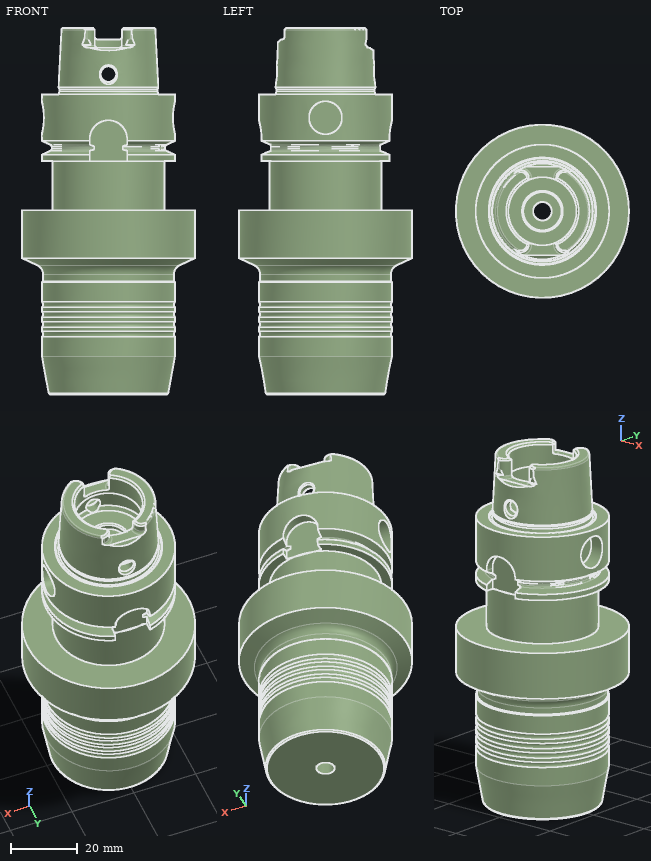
import cadquery as cq
import math

TOTAL_HEIGHT = 109.9
CUT_MARGIN = 11.0

NOSE_RADIUS = 35.9 / 2
NOSE_CHAMFER = 0.4
NOSE_CONE_TOP = 11.5
SLEEVE_RADIUS = 20.0
SLEEVE_TOP = 34.0
NECK_RADIUS = 19.7
GRIP_GROOVE_COUNT = 4
GRIP_GROOVE_BOTTOM = 17.3
GRIP_GROOVE_PITCH = 3.0
GRIP_GROOVE_WIDTH = 1.6
GRIP_GROOVE_DEPTH = 0.3

COLLAR_RADIUS = 52.0 / 2
COLLAR_BOTTOM = 40.9
COLLAR_TOP = 55.3
COLLAR_CONE_ANGLE = math.radians(65)
COLLAR_FILLET = 3.0

SHAFT_RADIUS = 16.8
FLANGE_RADIUS = SLEEVE_RADIUS
FLANGE_HEIGHT = 20.0
FLANGE_BOTTOM = 70.0
FLANGE_TOP = FLANGE_BOTTOM + FLANGE_HEIGHT
GRIPPER_GROOVE_Z = 74.0
GRIPPER_GROOVE_RADIUS = 17.0
GRIPPER_GROOVE_WIDTH = 0.5
GRIPPER_GROOVE_FILLET = 0.7
GRIPPER_GROOVE_ANGLE = math.radians(65)

RECESS_RADIUS = 15.8
RECESS_DEPTH = 0.3
RELIEF_RADIUS = 14.7
RELIEF_FLARE_WIDTH = 0.4
RELIEF_FLARE_HEIGHT = 1.2
RELIEF_TOP = 91.5
TAPER_BOTTOM = 92.1
TAPER_BOTTOM_RADIUS = 30.0 / 2
TAPER_TOP_RADIUS = 28.2 / 2
RIM_ROUND = 0.5

BORE_RADIUS = 10.2
BORE_MOUTH_CHAMFER = 0.7
BORE_DEPTH = 16.3
UNDERCUT_RADIUS = 12.3
UNDERCUT_DEPTH = 7.4
BORE_FLOOR_CHAMFER = 1.1
SEAT_RADIUS = 5.7
SEAT_CHAMFER = 0.4
SEAT_DEPTH = 2.2
COOLANT_RADIUS = 2.7

CROSS_HOLE_RADIUS = 2.3
CROSS_HOLE_COUNTERSINK = 0.8
CROSS_HOLE_Z = TOTAL_HEIGHT - 13.8

SLOT_HALF_WIDTH = 4.1
SLOT_FLARE_RADIUS = 2.4
SLOT_FLARE_START = 9.9
SLOT_FLOOR_FILLET = 0.8
SLOT_EDGE_CHAMFER = 0.5
FRONT_SLOT_DEPTH = 5.9
BACK_SLOT_DEPTH = 3.4

FRONT_RELIEF_START = (12.9, 0.3)
FRONT_RELIEF_CORNER = (12.0, 5.1)
FRONT_RELIEF_SLOPE = 0.7
BACK_RELIEF_START = 13.3
RELIEF_CUT_REACH = 6.6

KEY_HALF_WIDTH = 5.6
KEY_FLOOR = 16.5
KEY_TOP = 82.2
ROUND_POCKET_RADIUS = 5.0
ROUND_POCKET_FLOOR = 15.1
ROUND_POCKET_Z = 83.0


def turned(profile):
    """Close a profile drawn in the XZ plane and turn it about the Z axis."""
    return profile.close().revolve(360, (0, 0), (0, 1))


def body():
    fillet_outer = NECK_RADIUS + COLLAR_FILLET * (1 - math.cos(COLLAR_CONE_ANGLE))
    fillet_top = COLLAR_BOTTOM - (COLLAR_RADIUS - fillet_outer) / math.tan(COLLAR_CONE_ANGLE)
    fillet_bottom = fillet_top - COLLAR_FILLET * math.sin(COLLAR_CONE_ANGLE)
    recess_z = FLANGE_TOP - RECESS_DEPTH
    return turned(
        cq.Workplane("XZ")
        .lineTo(NOSE_RADIUS - NOSE_CHAMFER, 0)
        .lineTo(NOSE_RADIUS, NOSE_CHAMFER)
        .lineTo(SLEEVE_RADIUS, NOSE_CONE_TOP)
        .lineTo(SLEEVE_RADIUS, SLEEVE_TOP - (SLEEVE_RADIUS - NECK_RADIUS))
        .lineTo(NECK_RADIUS, SLEEVE_TOP)
        .lineTo(NECK_RADIUS, fillet_bottom)
        .radiusArc((fillet_outer, fillet_top), COLLAR_FILLET)
        .lineTo(COLLAR_RADIUS, COLLAR_BOTTOM)
        .lineTo(COLLAR_RADIUS, COLLAR_TOP)
        .lineTo(SHAFT_RADIUS, COLLAR_TOP)
        .lineTo(SHAFT_RADIUS, FLANGE_BOTTOM)
        .lineTo(FLANGE_RADIUS, FLANGE_BOTTOM)
        .lineTo(FLANGE_RADIUS, FLANGE_TOP)
        .lineTo(RECESS_RADIUS + RECESS_DEPTH, FLANGE_TOP)
        .lineTo(RECESS_RADIUS, recess_z)
        .lineTo(RELIEF_RADIUS + RELIEF_FLARE_WIDTH, recess_z)
        .lineTo(RELIEF_RADIUS, recess_z + RELIEF_FLARE_HEIGHT)
        .lineTo(RELIEF_RADIUS, RELIEF_TOP)
        .lineTo(TAPER_BOTTOM_RADIUS, TAPER_BOTTOM)
        .lineTo(TAPER_TOP_RADIUS, TOTAL_HEIGHT - RIM_ROUND)
        .radiusArc((TAPER_TOP_RADIUS - RIM_ROUND, TOTAL_HEIGHT), -RIM_ROUND)
        .lineTo(0, TOTAL_HEIGHT)
    )


def grip_groove(bottom):
    """Shallow round-bottomed ring groove in the sleeve."""
    top = bottom + GRIP_GROOVE_WIDTH
    return turned(
        cq.Workplane("XZ")
        .moveTo(SLEEVE_RADIUS, bottom)
        .threePointArc((SLEEVE_RADIUS - GRIP_GROOVE_DEPTH, (bottom + top) / 2), (SLEEVE_RADIUS, top))
        .lineTo(SLEEVE_RADIUS + CUT_MARGIN, top)
        .lineTo(SLEEVE_RADIUS + CUT_MARGIN, bottom)
    )


def gripper_groove():
    """V-groove around the flange with a narrow flat root and filleted flanks."""
    half_root = GRIPPER_GROOVE_WIDTH / 2
    neck_radius = GRIPPER_GROOVE_RADIUS + GRIPPER_GROOVE_FILLET * (1 - math.cos(GRIPPER_GROOVE_ANGLE))
    half_neck = half_root + GRIPPER_GROOVE_FILLET * math.sin(GRIPPER_GROOVE_ANGLE)
    half_mouth = half_neck + (FLANGE_RADIUS - neck_radius) / math.tan(GRIPPER_GROOVE_ANGLE)
    return turned(
        cq.Workplane("XZ", origin=(0, 0, GRIPPER_GROOVE_Z))
        .moveTo(FLANGE_RADIUS, -half_mouth)
        .lineTo(neck_radius, -half_neck)
        .radiusArc((GRIPPER_GROOVE_RADIUS, -half_root), GRIPPER_GROOVE_FILLET)
        .lineTo(GRIPPER_GROOVE_RADIUS, half_root)
        .radiusArc((neck_radius, half_neck), GRIPPER_GROOVE_FILLET)
        .lineTo(FLANGE_RADIUS, half_mouth)
        .lineTo(FLANGE_RADIUS + CUT_MARGIN, half_mouth)
        .lineTo(FLANGE_RADIUS + CUT_MARGIN, -half_mouth)
    )


def bore():
    """Undercut shank bore, stepped seat and coolant passage through to the bottom."""
    floor = TOTAL_HEIGHT - BORE_DEPTH
    undercut_top = TOTAL_HEIGHT - UNDERCUT_DEPTH
    return turned(
        cq.Workplane("XZ")
        .lineTo(COOLANT_RADIUS, 0)
        .lineTo(COOLANT_RADIUS, floor - SEAT_DEPTH)
        .lineTo(SEAT_RADIUS, floor - SEAT_DEPTH)
        .lineTo(SEAT_RADIUS, floor - SEAT_CHAMFER)
        .lineTo(SEAT_RADIUS + SEAT_CHAMFER, floor)
        .lineTo(UNDERCUT_RADIUS - BORE_FLOOR_CHAMFER, floor)
        .lineTo(UNDERCUT_RADIUS, floor + BORE_FLOOR_CHAMFER)
        .lineTo(UNDERCUT_RADIUS, undercut_top)
        .lineTo(BORE_RADIUS, undercut_top)
        .lineTo(BORE_RADIUS, TOTAL_HEIGHT - BORE_MOUTH_CHAMFER)
        .lineTo(BORE_RADIUS + BORE_MOUTH_CHAMFER, TOTAL_HEIGHT)
        .lineTo(0, TOTAL_HEIGHT)
    )


def slot_plan(z):
    """Plan of a slot on the -Y side; its walls flare outward as convex arcs."""
    flare_end = SLOT_FLARE_START + SLOT_FLARE_RADIUS
    flare_x = SLOT_HALF_WIDTH + SLOT_FLARE_RADIUS
    outer = TAPER_BOTTOM_RADIUS + CUT_MARGIN
    return (
        cq.Workplane("XY", origin=(0, 0, z))
        .moveTo(-SLOT_HALF_WIDTH, 0)
        .lineTo(-SLOT_HALF_WIDTH, -SLOT_FLARE_START)
        .radiusArc((-flare_x, -flare_end), SLOT_FLARE_RADIUS)
        .lineTo(-outer, -flare_end)
        .lineTo(-outer, -outer)
        .lineTo(outer, -outer)
        .lineTo(outer, -flare_end)
        .lineTo(flare_x, -flare_end)
        .radiusArc((SLOT_HALF_WIDTH, -SLOT_FLARE_START), SLOT_FLARE_RADIUS)
        .lineTo(SLOT_HALF_WIDTH, 0)
        .close()
    )


def drive_slot(depth):
    """Slot on the -Y side with a filleted floor and chamfered upper edges."""
    slot = slot_plan(TOTAL_HEIGHT - depth).extrude(depth)
    slot = slot.faces("<Z").edges().fillet(SLOT_FLOOR_FILLET)
    edge_chamfer = slot_plan(TOTAL_HEIGHT - SLOT_EDGE_CHAMFER).extrude(SLOT_EDGE_CHAMFER, taper=-45)
    return slot.union(edge_chamfer)


def relief_cut(corners):
    """Prism along X, on the -Y side, from (distance from axis, depth below rim) corners."""
    points = [(-distance, TOTAL_HEIGHT - depth) for distance, depth in corners]
    return cq.Workplane("YZ").polyline(points).close().extrude(FLANGE_RADIUS, both=True)


def front_relief():
    """Leaning back wall and a floor that slopes down toward the outside."""
    start_depth = FRONT_RELIEF_START[1]
    corner_distance, corner_depth = FRONT_RELIEF_CORNER
    outer = corner_distance + RELIEF_CUT_REACH
    outer_depth = corner_depth + RELIEF_CUT_REACH * FRONT_RELIEF_SLOPE
    return relief_cut(
        [FRONT_RELIEF_START, FRONT_RELIEF_CORNER, (outer, outer_depth), (outer, start_depth)]
    )


def back_relief():
    """45 degree chamfer on the outer edge of the slot floor."""
    outer = BACK_RELIEF_START + RELIEF_CUT_REACH
    return relief_cut(
        [
            (BACK_RELIEF_START, BACK_SLOT_DEPTH),
            (outer, BACK_SLOT_DEPTH + RELIEF_CUT_REACH),
            (outer, BACK_SLOT_DEPTH),
        ]
    )


def cross_hole():
    """Hole along Y, countersunk at both ends."""
    end = TAPER_BOTTOM_RADIUS
    rim_radius = CROSS_HOLE_RADIUS + CROSS_HOLE_COUNTERSINK
    return (
        cq.Workplane("XY", origin=(0, 0, CROSS_HOLE_Z))
        .moveTo(0, -end)
        .lineTo(rim_radius, -end)
        .lineTo(CROSS_HOLE_RADIUS, CROSS_HOLE_COUNTERSINK - end)
        .lineTo(CROSS_HOLE_RADIUS, end - CROSS_HOLE_COUNTERSINK)
        .lineTo(rim_radius, end)
        .lineTo(0, end)
        .close()
        .revolve(360, (0, 0), (0, 1))
    )


def key_pocket():
    """Flat-floored, round-topped pocket on the -Y side, open at the flange bottom."""
    straight_top = KEY_TOP - KEY_HALF_WIDTH
    return (
        cq.Workplane("XZ", origin=(0, -KEY_FLOOR, 0))
        .moveTo(-KEY_HALF_WIDTH, FLANGE_BOTTOM)
        .lineTo(-KEY_HALF_WIDTH, straight_top)
        .threePointArc((0, KEY_TOP), (KEY_HALF_WIDTH, straight_top))
        .lineTo(KEY_HALF_WIDTH, FLANGE_BOTTOM)
        .close()
        .extrude(CUT_MARGIN)
    )


def round_pocket():
    """Flat-floored round pocket on the +X side."""
    pocket = cq.Workplane("YZ", origin=(ROUND_POCKET_FLOOR, 0, ROUND_POCKET_Z))
    return pocket.circle(ROUND_POCKET_RADIUS).extrude(CUT_MARGIN)


result = body().cut(bore()).cut(gripper_groove())
for index in range(GRIP_GROOVE_COUNT):
    result = result.cut(grip_groove(GRIP_GROOVE_BOTTOM + index * GRIP_GROOVE_PITCH))
result = result.cut(drive_slot(FRONT_SLOT_DEPTH)).cut(front_relief())
result = result.cut(drive_slot(BACK_SLOT_DEPTH).mirror("XZ")).cut(back_relief().mirror("XZ"))
result = result.cut(cross_hole())
result = result.cut(key_pocket()).cut(key_pocket().mirror("XZ"))
result = result.cut(round_pocket()).cut(round_pocket().mirror("YZ"))